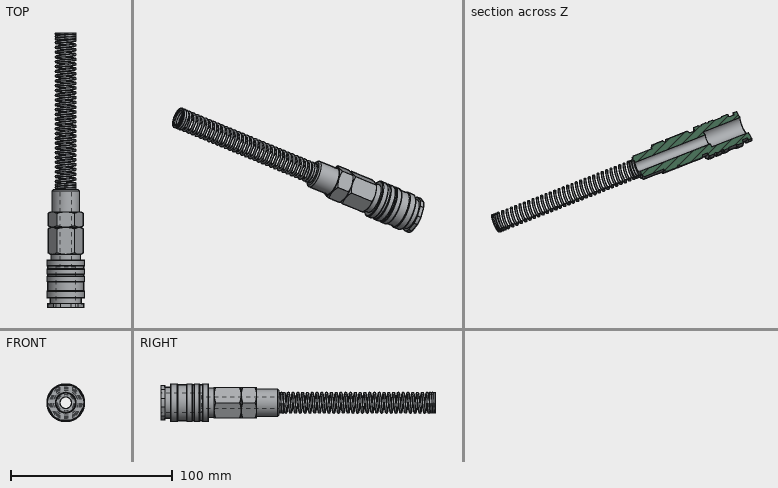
import cadquery as cq
import math


FLANGE_END_Y = 2.5
SLEEVE_START_Y = 5.8
SLEEVE_END_Y = 29.6
BODY_HEX_START_Y = 32.9
NUT_START_Y = 49.7
NUT_END_Y = 59.3
COLLAR_END_Y = 73.1
TOTAL_LENGTH = 170.0

FLANGE_DIAMETER = 22.5
FLANGE_ACROSS_FLATS = 21.5
FRONT_NECK_DIAMETER = 19.3

SLEEVE_DIAMETER = 22.4
RING_DIAMETER = 23.5
RING_CHAMFER = 0.5
GRIP_RINGS = [
    (SLEEVE_START_Y, 10.5),
    (15.8, 19.6),
    (20.4, 24.2),
    (25.6, SLEEVE_END_Y),
]

REAR_NECK_DIAMETER = 18.5
HEX_ACROSS_FLATS = 19.0
HEX_END_DIAMETER = 18.7
HEX_CHAMFER_LENGTH = 1.0
COLLAR_DIAMETER = 17.2
COLLAR_CHAMFER = 1.0

SOCKET_DIAMETER = 12.0
SOCKET_LEAD_IN_WIDTH = 0.35
SOCKET_LEAD_IN_DEPTH = 1.2
SOCKET_DEPTH = 25.0
THROUGH_DIAMETER = 7.0

WIRE_DIAMETER = 1.4
SPRING_OUTER_DIAMETER = 13.0
COIL_RADIUS = (SPRING_OUTER_DIAMETER - WIRE_DIAMETER) / 2
CLOSED_PITCH = 1.53
COLLAR_CLOSED_TURNS = 2.5
FREE_CLOSED_TURNS = 2.5
OPEN_PITCH = 2.962
OPEN_TURNS = 30
RING_STEP = 0.3
RING_GROUND_OFF = 0.3


def cylinder(diameter, start, end):
    """Solid cylinder on the Y axis between two stations."""
    return cq.Workplane("XZ", origin=(0, start, 0)).circle(diameter / 2).extrude(start - end)


def corners_from_flats(across_flats):
    """Width of a regular hexagon across its corners."""
    return across_flats / math.cos(math.radians(30))


def hexagon(across_flats, start, end):
    """Hexagonal bar on the Y axis with two of its corners on the X axis."""
    across_corners = corners_from_flats(across_flats)
    return cq.Workplane("XZ", origin=(0, start, 0)).polygon(6, across_corners).extrude(start - end)


def make_flange():
    disc = cylinder(FLANGE_DIAMETER, 0, FLANGE_END_Y)
    return disc.intersect(hexagon(FLANGE_ACROSS_FLATS, 0, FLANGE_END_Y))


def make_sleeve():
    sleeve = cylinder(SLEEVE_DIAMETER, SLEEVE_START_Y, SLEEVE_END_Y)
    for start, end in GRIP_RINGS:
        ring = cylinder(RING_DIAMETER, start, end).edges().chamfer(RING_CHAMFER)
        sleeve = sleeve.union(ring)
    return sleeve


def make_chamfered_hexagon(start, end):
    """Hexagonal bar whose corners are turned down to a cone at both ends."""
    across_corners = corners_from_flats(HEX_ACROSS_FLATS)
    radial_chamfer = (across_corners - HEX_END_DIAMETER) / 2
    cone_limit = cylinder(across_corners, start, end)
    cone_limit = cone_limit.faces("<Y").chamfer(HEX_CHAMFER_LENGTH, radial_chamfer)
    cone_limit = cone_limit.faces(">Y").chamfer(HEX_CHAMFER_LENGTH, radial_chamfer)
    return hexagon(HEX_ACROSS_FLATS, start, end).intersect(cone_limit)


def make_collar():
    return cylinder(COLLAR_DIAMETER, NUT_END_Y, COLLAR_END_Y).faces(">Y").chamfer(COLLAR_CHAMFER)


def make_bore():
    """Through hole, wider plug socket and the slim cone that leads into the socket."""
    socket_radius = SOCKET_DIAMETER / 2
    profile = cq.Workplane("XY").polyline([
        (0, 0),
        (socket_radius + SOCKET_LEAD_IN_WIDTH, 0),
        (socket_radius, SOCKET_LEAD_IN_DEPTH),
        (socket_radius, SOCKET_DEPTH),
        (THROUGH_DIAMETER / 2, SOCKET_DEPTH),
        (THROUGH_DIAMETER / 2, COLLAR_END_Y),
        (0, COLLAR_END_Y),
    ]).close()
    return profile.revolve(360, (0, 0, 0), (0, 1, 0))


def make_coupling():
    coupling = make_flange()
    coupling = coupling.union(cylinder(FRONT_NECK_DIAMETER, FLANGE_END_Y, SLEEVE_START_Y))
    coupling = coupling.union(make_sleeve())
    coupling = coupling.union(cylinder(REAR_NECK_DIAMETER, SLEEVE_END_Y, BODY_HEX_START_Y))
    coupling = coupling.union(make_chamfered_hexagon(BODY_HEX_START_Y, NUT_START_Y))
    coupling = coupling.union(make_chamfered_hexagon(NUT_START_Y, NUT_END_Y))
    coupling = coupling.union(make_collar())
    return coupling.cut(make_bore())


def make_coil(pitch, turns):
    """Round wire wound right-handed up the Z axis, starting on the +X side."""
    path = cq.Wire.makeHelix(pitch, pitch * turns, COIL_RADIUS)
    section = cq.Workplane("XZ").center(COIL_RADIUS, 0).circle(WIRE_DIAMETER / 2)
    return section.sweep(cq.Workplane(path), isFrenet=True)


def make_end_ring():
    """Ring of spring wire about the Z axis, ground flat on its upper side."""
    wire_radius = WIRE_DIAMETER / 2
    ring = cq.Workplane(cq.Solid.makeTorus(COIL_RADIUS, wire_radius))
    ground_height = wire_radius - RING_GROUND_OFF
    ground_off = cq.Workplane("XY", origin=(0, 0, ground_height)).circle(SPRING_OUTER_DIAMETER)
    return ring.cut(ground_off.extrude(WIRE_DIAMETER))


def make_spring():
    """Three coils laid end to end; each starts at the angle where the last one stopped."""
    coils = [
        (CLOSED_PITCH, COLLAR_CLOSED_TURNS),
        (OPEN_PITCH, OPEN_TURNS),
        (CLOSED_PITCH, FREE_CLOSED_TURNS),
    ]
    spring = cq.Workplane()
    height = 0
    angle = 180
    for pitch, turns in coils:
        coil = make_coil(pitch, turns).rotate((0, 0, 0), (0, 0, 1), angle)
        spring = spring.add(coil.translate((0, 0, height)))
        height += pitch * turns
        angle += 360 * turns
    ring_height = height + RING_STEP
    spring = spring.add(make_end_ring().translate((0, 0, ring_height))).combine()
    spring = spring.rotate((0, 0, 0), (1, 0, 0), -90)
    ground_height = ring_height + WIRE_DIAMETER / 2 - RING_GROUND_OFF
    return spring.translate((0, TOTAL_LENGTH - ground_height, 0))


result = make_coupling().union(make_spring()).solids()